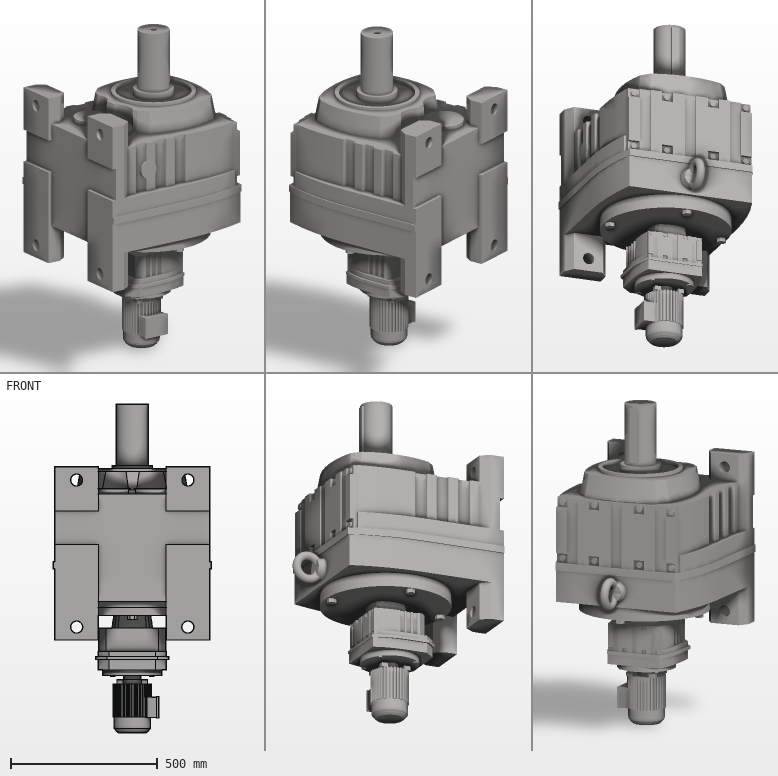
import cadquery as cq
import math


PRIMARY_Y = -35.0
MOTOR_Y = -50.0
TOP_Z = 1122.0
UNIT_JOINT_Z = 429.0
MOTOR_JOINT_Z = 209.0

LOWER_BOTTOM_Z = 449.0
RIM_BOTTOM_Z = 560.0
RIM_TOP_Z = 585.0
LEDGE_Z = 643.0
UPPER_TOP_Z = 815.0
HALF_WIDTH = 265.0
RIM_OVERHANG = 5.0
BACK_HALF_WIDTH = 224.0
BACK_Y = 204.0
FRONT_Y = -343.0
SIDE_TANGENT_Y = -52.0
UPPER_HALF_WIDTH = 242.0
UPPER_BACK_Y = 176.0

SIDE_GROOVE_FIRST_Y = -37.0
SIDE_GROOVE_PITCH = 81.0
SIDE_GROOVE_WIDTH = 42.0
SIDE_GROOVE_DEPTH = 11.0
SIDE_GROOVES = 3

PLUG_Y = -188.0
PLUG_RADIUS = 31.0
PLUG_Z = 718.0

COVER_DROP = 2.0
COVER_BACK_Y = 202.0
COVER_RELIEF = 6.0
COVER_RELIEF_WIDTH = 40.0
COVER_RELIEF_X = 165.0
COVER_POCKET_X = (84.0, 204.0)
COVER_POCKET_WIDTH = 40.0
COVER_POCKET_DEPTH = 12.0
COVER_POCKET_HEIGHT = 34.0
COVER_SCREW_RADIUS = 10.0
COVER_SCREW_HEIGHT = 7.0

FOOT_BASE_Y = -357.0
FOOT_TOP_Y = -276.0
FOOT_INNER_X = 116.0
FOOT_BOTTOM_Z = 316.0
FOOT_TOP_Z = 909.0
FOOT_CHAMFER_Y = 34.0
FOOT_CHAMFER_X = 22.0
FOOT_RELIEF_BOTTOM_Z = LEDGE_Z
FOOT_RELIEF_TOP_Z = 757.0
FOOT_HOLE_X = 190.0
FOOT_HOLE_DIAMETER = 40.0
FOOT_HOLE_TOP_Z = 863.0
FOOT_HOLE_BOTTOM_Z = 361.0

DOME_TOP_Z = 892.0
DOME_HALF_X = 192.0
DOME_BACK_Y = 188.0
DOME_FRONT_Y = -194.0
DOME_CORNER_X = 166.0
DOME_CORNER_Y = 134.0
DOME_CORNER_CUT = 33.0
DOME_TAPER = 10.5

CAP_TOP_Z = 835.0
CAP_CHAMFER = 2.0
LEFT_CAP = (-64.0, -219.0, 58.0)
RIGHT_CAP = (76.0, -224.0, 70.0)
CAP_WEB_WIDTH = 34.0
CAP_WEB_FRONT_Y = -247.0
CAP_WEB_HEIGHT = 13.0

SEAL_RING_RADIUS = 145.0
SEAL_RECESS_RADIUS = 130.0
SEAL_RING_TOP_Z = 902.0
SEAL_RECESS_Z = 888.0
COLLAR_RADIUS = 70.0
COLLAR_TOP_Z = 912.0
SHAFT_RADIUS = 55.0
KEY_WIDTH = 28.0
KEY_TOP_Y = 60.0
KEY_BOTTOM_Z = 925.0
KEY_TOP_Z = 1112.0
CENTRE_HOLE_RADIUS = 10.0
CENTRE_HOLE_MOUTH_RADIUS = 15.0
CENTRE_HOLE_DEPTH = 34.0

EYE_Z = 504.0
EYE_TUBE_RADIUS = 15.0
EYE_RING_RADIUS = 42.0
EYE_END_Y = 313.0
EYE_BOSS_BASE_RADIUS = 39.0
EYE_BOSS_TOP_RADIUS = 31.0
EYE_BOSS_HEIGHT = 27.0

FLANGE_RADIUS = 224.0
FLANGE_BOTTOM_Z = 400.0
FLANGE_BOLT_CIRCLE = 203.0
FLANGE_BOLT_ACROSS = 33.0
FLANGE_BOLT_HEIGHT = 13.0
PRIMARY_UPPER_TOP_Z = 358.0
PRIMARY_LEDGE_Z = 277.0
PRIMARY_RIM_TOP_Z = 260.0
PRIMARY_RIM_BOTTOM_Z = 250.0
PRIMARY_BOTTOM_Z = 215.0
PRIMARY_HALF_WIDTH = 117.0
PRIMARY_BACK_HALF_WIDTH = 98.0
PRIMARY_BACK_Y = 57.0
PRIMARY_FRONT_Y = -175.0
PRIMARY_TANGENT_Y = -56.0
PRIMARY_CHAMFER_X = 38.0
PRIMARY_CHAMFER_Y = 38.0
PRIMARY_RIM_OVERHANG = 8.0
PRIMARY_RIM_END_OVERHANG = 3.0
PRIMARY_UPPER_HALF_WIDTH = 108.0
PRIMARY_UPPER_BACK_Y = 42.0
PRIMARY_COVER_BACK_Y = 54.0
PRIMARY_UPPER_FRONT_Y = -140.0
PRIMARY_HEAD_HALF_WIDTH = 115.0
PRIMARY_HEAD_CHAMFER = 25.0
PRIMARY_HEAD_BACK_Y = PRIMARY_UPPER_FRONT_Y + PRIMARY_HEAD_CHAMFER
PRIMARY_GROOVE_FIRST_Y = -43.0
PRIMARY_GROOVE_PITCH = 24.0
PRIMARY_GROOVE_WIDTH = 15.0
PRIMARY_GROOVE_DEPTH = 6.0
PRIMARY_COVER_SCALE = 0.43
NECK_HALF = 70.0
NECK_CORNER = 60.0
NECK_CORNER_FLAT = 48.0
NECK_CORNER_CUT = NECK_CORNER - NECK_CORNER_FLAT
NECK_TAPER = 8.5

MOTOR_FLANGE_RADIUS = 101.0
MOTOR_FLANGE_BOTTOM_Z = 195.0
MOTOR_BOLT_OFFSET = 66.0
MOTOR_BOLT_ACROSS = 16.0
MOTOR_BOLT_HEIGHT = 3.0
MOTOR_NECK_RADIUS = 29.0
LUG_TOP_Z = 182.0
LUG_HUB_RADIUS = 31.0
LUG_OUTER = 53.0
LUG_SIZE = 21.0
FINS_TOP_Z = 167.0
FINS_BOTTOM_Z = 54.0
FIN_COUNT = 36
FIN_TIP_RADIUS = 66.0
FIN_ROOT_RADIUS = 58.0
FIN_THICKNESS = 6.0
COWL_RADIUS = 63.0
COWL_EDGE_RADIUS = 54.0
COWL_END_RADIUS = 47.0
COWL_BEND_RADIUS = 62.0
COWL_BEND_Z = 16.0
COWL_SHOULDER_Z = 22.0
COWL_EDGE_Z = 6.0
TERMINAL_BOX_WIDTH = 88.0
TERMINAL_BOX_BOTTOM_Z = 53.0
TERMINAL_BOX_TOP_Z = 122.0
TERMINAL_LID_INNER_X = 83.0
TERMINAL_LID_OUTER_X = 91.0
TERMINAL_LID_OVERHANG = 2.0


def box(x_range, y_range, z_range):
    """Box between two limits along each axis."""
    (x0, x1), (y0, y1), (z0, z1) = x_range, y_range, z_range
    return cq.Workplane("XY", origin=(x0, y0, z0)).box(x1 - x0, y1 - y0, z1 - z0, centered=False)


def disc(x, y, radius, bottom_z, top_z):
    """Vertical cylinder."""
    return cq.Workplane("XY", origin=(x, y, bottom_z)).circle(radius).extrude(top_z - bottom_z)


def hexagon_head(x, y, across_corners, bottom_z, top_z):
    """Vertical hexagonal bolt head."""
    return cq.Workplane("XY", origin=(x, y, bottom_z)).polygon(6, across_corners).extrude(top_z - bottom_z)


def shell_slab(half_width, tangent_y, back_half_width, back_y, front_y, z_range, chamfer=(0, 0)):
    """Slab with a flat front and sides that curve inwards towards the back.

    Each side arc is tangent to the straight side at tangent_y; chamfer cuts the front corners.
    """
    bottom_z, top_z = z_range
    chamfer_x, chamfer_y = chamfer
    narrowing = half_width - back_half_width
    length = back_y - tangent_y
    arc_radius = (narrowing**2 + length**2) / (2 * narrowing)
    middle_y = tangent_y + length / 2
    middle_x = half_width - arc_radius + math.sqrt(arc_radius**2 - (length / 2) ** 2)
    outline = cq.Workplane("XY", origin=(0, 0, bottom_z)).moveTo(half_width - chamfer_x, front_y)
    if chamfer_x:
        outline = outline.lineTo(half_width, front_y + chamfer_y)
    outline = (
        outline.lineTo(half_width, tangent_y)
        .threePointArc((middle_x, middle_y), (back_half_width, back_y))
        .lineTo(-back_half_width, back_y)
        .threePointArc((-middle_x, middle_y), (-half_width, tangent_y))
    )
    if chamfer_x:
        outline = outline.lineTo(-half_width, front_y + chamfer_y)
    return outline.lineTo(chamfer_x - half_width, front_y).close().extrude(top_z - bottom_z)


def cut_side_grooves(body, half_width, first_y, pitch, width, depth, z_range):
    """Cut vertical grooves into both sides of an upper housing.

    Each groove wall is an S of two quarter rounds, convex at the mouth and concave at the floor.
    """
    bottom_z, top_z = z_range
    round_radius = depth / 2
    bend = round_radius * math.sqrt(0.5)
    for index in range(SIDE_GROOVES):
        back_y = first_y - index * pitch
        front_y = back_y - width
        for side in (1, -1):
            mouth_x = side * half_width
            middle_x = side * (half_width - round_radius)
            floor_x = side * (half_width - depth)
            mouth_bend_x = middle_x + side * bend
            floor_bend_x = middle_x - side * bend
            convex_bend = round_radius - bend
            groove = (
                cq.Workplane("XY", origin=(0, 0, bottom_z))
                .moveTo(mouth_x, back_y + round_radius)
                .threePointArc((mouth_bend_x, back_y + convex_bend), (middle_x, back_y))
                .threePointArc((floor_bend_x, back_y - convex_bend), (floor_x, back_y - round_radius))
                .lineTo(floor_x, front_y + round_radius)
                .threePointArc((floor_bend_x, front_y + convex_bend), (middle_x, front_y))
                .threePointArc((mouth_bend_x, front_y - convex_bend), (mouth_x, front_y - round_radius))
                .close()
                .extrude(top_z - bottom_z)
            )
            body = body.cut(groove)
    return body


def rear_cover(half_width, inner_y, outer_y, z_range, scale):
    """Flat rear cover with upright reliefs and screw pockets at its top and bottom edges."""
    bottom_z, top_z = z_range
    cover = box((-half_width, half_width), (inner_y, outer_y), z_range)
    relief_half = scale * COVER_RELIEF_WIDTH / 2
    relief_y = (outer_y - scale * COVER_RELIEF, outer_y)
    for x in (-COVER_RELIEF_X, 0, COVER_RELIEF_X):
        x_range = (scale * x - relief_half, scale * x + relief_half)
        cover = cover.cut(box(x_range, relief_y, z_range))
    pocket_half = scale * COVER_POCKET_WIDTH / 2
    pocket_y = (outer_y - scale * COVER_POCKET_DEPTH, outer_y)
    pocket_height = scale * COVER_POCKET_HEIGHT
    for distance in COVER_POCKET_X:
        for x in (-scale * distance, scale * distance):
            x_range = (x - pocket_half, x + pocket_half)
            cover = cover.cut(box(x_range, pocket_y, (top_z - pocket_height, top_z)))
            cover = cover.cut(box(x_range, pocket_y, (bottom_z, bottom_z + pocket_height)))
            screws = (
                cq.Workplane("XZ", origin=(0, pocket_y[0], 0))
                .pushPoints([(x, bottom_z + pocket_height / 2), (x, top_z - pocket_height / 2)])
                .circle(scale * COVER_SCREW_RADIUS)
                .extrude(-scale * COVER_SCREW_HEIGHT)
            )
            cover = cover.union(screws)
    return cover


def domed_cover(centre_y, half_x, y_range, corner, corner_cut, z_range, taper):
    """Tapered cover whose four bulging sides meet at bevelled corners."""
    front_y, back_y = y_range
    corner_x, corner_y = corner
    bottom_z, top_z = z_range
    inner_x = corner_x - corner_cut
    outer_y = corner_y + corner_cut
    return (
        cq.Workplane("XY", origin=(0, centre_y, bottom_z))
        .moveTo(corner_x, -corner_y)
        .threePointArc((half_x, 0), (corner_x, corner_y))
        .lineTo(inner_x, outer_y)
        .threePointArc((0, back_y), (-inner_x, outer_y))
        .lineTo(-corner_x, corner_y)
        .threePointArc((-half_x, 0), (-corner_x, -corner_y))
        .lineTo(-inner_x, -outer_y)
        .threePointArc((0, front_y), (inner_x, -outer_y))
        .close()
        .extrude(top_z - bottom_z, taper=taper)
    )


def main_housing():
    """Lower housing, parting rim, grooved upper housing and rear cover."""
    housing = shell_slab(
        HALF_WIDTH, SIDE_TANGENT_Y, BACK_HALF_WIDTH, BACK_Y, FRONT_Y, (LOWER_BOTTOM_Z, RIM_TOP_Z)
    )
    ledge = shell_slab(
        HALF_WIDTH, SIDE_TANGENT_Y, BACK_HALF_WIDTH, BACK_Y, FRONT_Y, (RIM_TOP_Z, LEDGE_Z)
    ).intersect(box((-HALF_WIDTH, HALF_WIDTH), (FRONT_Y, UPPER_BACK_Y), (RIM_TOP_Z, LEDGE_Z)))
    rim = shell_slab(
        HALF_WIDTH + RIM_OVERHANG,
        SIDE_TANGENT_Y,
        BACK_HALF_WIDTH,
        BACK_Y + RIM_OVERHANG,
        FRONT_Y,
        (RIM_BOTTOM_Z, RIM_TOP_Z),
    )
    upper_z = (LEDGE_Z, UPPER_TOP_Z)
    upper = shell_slab(UPPER_HALF_WIDTH, 0, BACK_HALF_WIDTH, UPPER_BACK_Y, FRONT_Y, upper_z)
    upper = cut_side_grooves(
        upper, UPPER_HALF_WIDTH, SIDE_GROOVE_FIRST_Y, SIDE_GROOVE_PITCH, SIDE_GROOVE_WIDTH,
        SIDE_GROOVE_DEPTH, upper_z,
    )
    cover_z = (RIM_TOP_Z, UPPER_TOP_Z - COVER_DROP)
    cover = rear_cover(BACK_HALF_WIDTH, UPPER_BACK_Y, COVER_BACK_Y, cover_z, scale=1)
    spigot = disc(0, PRIMARY_Y, FLANGE_RADIUS, UNIT_JOINT_Z, LOWER_BOTTOM_Z)
    return housing.union(ledge).union(rim).union(upper).union(cover).union(spigot)


def oil_plug():
    """Round plug that fills part of the grooves on the +X side."""
    inner_x = UPPER_HALF_WIDTH - SIDE_GROOVE_DEPTH
    return (
        cq.Workplane("YZ", origin=(inner_x, PLUG_Y, PLUG_Z)).circle(PLUG_RADIUS).extrude(SIDE_GROOVE_DEPTH)
    )


def foot(side):
    """One mounting foot with bevelled top edges, a relief in its base and two bolt holes."""
    shoulder_y = FOOT_TOP_Y - FOOT_CHAMFER_Y
    profile = [
        (FOOT_INNER_X, FOOT_BASE_Y),
        (HALF_WIDTH, FOOT_BASE_Y),
        (HALF_WIDTH, shoulder_y),
        (HALF_WIDTH - FOOT_CHAMFER_X, FOOT_TOP_Y),
        (FOOT_INNER_X + FOOT_CHAMFER_X, FOOT_TOP_Y),
        (FOOT_INNER_X, shoulder_y),
    ]
    rail = (
        cq.Workplane("XY", origin=(0, 0, FOOT_BOTTOM_Z))
        .polyline([(side * x, y) for x, y in profile])
        .close()
        .extrude(FOOT_TOP_Z - FOOT_BOTTOM_Z)
    )
    rim_x = sorted((side * FOOT_INNER_X, side * (HALF_WIDTH + RIM_OVERHANG)))
    rail = rail.union(box(rim_x, (FOOT_BASE_Y, FRONT_Y), (RIM_BOTTOM_Z, RIM_TOP_Z)))
    relief_x = sorted((side * FOOT_INNER_X, side * HALF_WIDTH))
    rail = rail.cut(box(relief_x, (FOOT_BASE_Y, FRONT_Y), (FOOT_RELIEF_BOTTOM_Z, FOOT_RELIEF_TOP_Z)))
    holes = (
        cq.Workplane("XZ", origin=(0, FOOT_TOP_Y, 0))
        .pushPoints([(side * FOOT_HOLE_X, FOOT_HOLE_TOP_Z), (side * FOOT_HOLE_X, FOOT_HOLE_BOTTOM_Z)])
        .circle(FOOT_HOLE_DIAMETER / 2)
        .extrude(FOOT_TOP_Y - FOOT_BASE_Y)
    )
    return rail.cut(holes)


def shaft_end_cover():
    """Domed cover, scooped around the two bearing caps and carrying a recessed seal ring."""
    dome = domed_cover(
        0, DOME_HALF_X, (DOME_FRONT_Y, DOME_BACK_Y), (DOME_CORNER_X, DOME_CORNER_Y), DOME_CORNER_CUT,
        (UPPER_TOP_Z, DOME_TOP_Z), DOME_TAPER,
    )
    for x, y, radius in (LEFT_CAP, RIGHT_CAP):
        dome = dome.cut(disc(x, y, radius, UPPER_TOP_Z, DOME_TOP_Z))
    dome = dome.union(disc(0, 0, SEAL_RING_RADIUS, DOME_TOP_Z, SEAL_RING_TOP_Z))
    return dome.cut(disc(0, 0, SEAL_RECESS_RADIUS, SEAL_RECESS_Z, SEAL_RING_TOP_Z))


def bearing_caps():
    """Two round caps on the upper housing, joined by a low web."""
    web_middle_x = (LEFT_CAP[0] + LEFT_CAP[2] + RIGHT_CAP[0] - RIGHT_CAP[2]) / 2
    web_x = (web_middle_x - CAP_WEB_WIDTH / 2, web_middle_x + CAP_WEB_WIDTH / 2)
    web_z = (UPPER_TOP_Z, UPPER_TOP_Z + CAP_WEB_HEIGHT)
    caps = box(web_x, (CAP_WEB_FRONT_Y, LEFT_CAP[1] + LEFT_CAP[2]), web_z)
    for x, y, radius in (LEFT_CAP, RIGHT_CAP):
        caps = caps.union(disc(x, y, radius, UPPER_TOP_Z, CAP_TOP_Z).faces(">Z").chamfer(CAP_CHAMFER))
    return caps


def output_shaft():
    """Collar, keyed output shaft and its centre hole."""
    collar = disc(0, 0, COLLAR_RADIUS, SEAL_RECESS_Z, COLLAR_TOP_Z)
    shaft = disc(0, 0, SHAFT_RADIUS, COLLAR_TOP_Z, TOP_Z)
    key = box((-KEY_WIDTH / 2, KEY_WIDTH / 2), (0, KEY_TOP_Y), (KEY_BOTTOM_Z, KEY_TOP_Z))
    centre_hole = disc(0, 0, CENTRE_HOLE_RADIUS, TOP_Z - CENTRE_HOLE_DEPTH, TOP_Z)
    flare = CENTRE_HOLE_MOUTH_RADIUS - CENTRE_HOLE_RADIUS
    mouth = cq.Workplane("XY").add(
        cq.Solid.makeCone(
            CENTRE_HOLE_RADIUS, CENTRE_HOLE_MOUTH_RADIUS, flare, pnt=cq.Vector(0, 0, TOP_Z - flare)
        )
    )
    return collar.union(shaft).union(key).cut(centre_hole).cut(mouth)


def lifting_eye():
    """Conical boss and upright ring on the back of the lower housing."""
    ring_y = EYE_END_Y - EYE_RING_RADIUS - EYE_TUBE_RADIUS
    boss = cq.Workplane("XY").add(
        cq.Solid.makeCone(
            EYE_BOSS_BASE_RADIUS, EYE_BOSS_TOP_RADIUS, EYE_BOSS_HEIGHT,
            pnt=cq.Vector(0, BACK_Y, EYE_Z), dir=cq.Vector(0, 1, 0),
        )
    )
    opening_radius = EYE_RING_RADIUS - EYE_TUBE_RADIUS
    opening = (
        cq.Workplane("YZ", origin=(0, ring_y, EYE_Z))
        .circle(opening_radius)
        .extrude(EYE_BOSS_BASE_RADIUS, both=True)
    )
    ring = cq.Workplane("XY").add(
        cq.Solid.makeTorus(
            EYE_RING_RADIUS, EYE_TUBE_RADIUS, cq.Vector(0, ring_y, EYE_Z), cq.Vector(1, 0, 0)
        )
    )
    return boss.cut(opening).union(ring)


def make_main_unit():
    """Main gear unit as one solid."""
    unit = main_housing().union(oil_plug())
    for side in (-1, 1):
        unit = unit.union(foot(side))
    return unit.union(shaft_end_cover()).union(bearing_caps()).union(output_shaft()).union(lifting_eye())


def primary_flange():
    """Round flange with four bolt heads below it."""
    flange = disc(0, PRIMARY_Y, FLANGE_RADIUS, FLANGE_BOTTOM_Z, UNIT_JOINT_Z)
    for dx, dy in ((1, 0), (0, 1), (-1, 0), (0, -1)):
        head = hexagon_head(
            dx * FLANGE_BOLT_CIRCLE,
            PRIMARY_Y + dy * FLANGE_BOLT_CIRCLE,
            FLANGE_BOLT_ACROSS,
            FLANGE_BOTTOM_Z - FLANGE_BOLT_HEIGHT,
            FLANGE_BOTTOM_Z,
        )
        flange = flange.union(head)
    return flange


def primary_housing():
    """Bevelled lower housing with its rim and a grooved upper housing."""
    chamfer = (PRIMARY_CHAMFER_X, PRIMARY_CHAMFER_Y)
    housing = shell_slab(
        PRIMARY_HALF_WIDTH, PRIMARY_TANGENT_Y, PRIMARY_BACK_HALF_WIDTH, PRIMARY_BACK_Y,
        PRIMARY_FRONT_Y, (PRIMARY_BOTTOM_Z, PRIMARY_RIM_TOP_Z), chamfer,
    )
    ledge = shell_slab(
        PRIMARY_HALF_WIDTH, PRIMARY_TANGENT_Y, PRIMARY_BACK_HALF_WIDTH, PRIMARY_UPPER_BACK_Y,
        PRIMARY_FRONT_Y, (PRIMARY_RIM_TOP_Z, PRIMARY_LEDGE_Z), chamfer,
    )
    rim = shell_slab(
        PRIMARY_HALF_WIDTH + PRIMARY_RIM_OVERHANG,
        PRIMARY_TANGENT_Y,
        PRIMARY_BACK_HALF_WIDTH,
        PRIMARY_BACK_Y + PRIMARY_RIM_END_OVERHANG,
        PRIMARY_FRONT_Y - PRIMARY_RIM_END_OVERHANG,
        (PRIMARY_RIM_BOTTOM_Z, PRIMARY_RIM_TOP_Z),
        chamfer,
    )
    upper_z = (PRIMARY_LEDGE_Z, PRIMARY_UPPER_TOP_Z)
    upper = shell_slab(
        PRIMARY_UPPER_HALF_WIDTH, PRIMARY_Y, PRIMARY_BACK_HALF_WIDTH, PRIMARY_UPPER_BACK_Y,
        PRIMARY_HEAD_BACK_Y, upper_z,
    )
    upper = cut_side_grooves(
        upper, PRIMARY_UPPER_HALF_WIDTH, PRIMARY_GROOVE_FIRST_Y, PRIMARY_GROOVE_PITCH,
        PRIMARY_GROOVE_WIDTH, PRIMARY_GROOVE_DEPTH, upper_z,
    )
    cover = rear_cover(
        PRIMARY_BACK_HALF_WIDTH, PRIMARY_UPPER_BACK_Y, PRIMARY_COVER_BACK_Y,
        (PRIMARY_RIM_TOP_Z, PRIMARY_UPPER_TOP_Z), PRIMARY_COVER_SCALE,
    )
    spigot = disc(0, MOTOR_Y, MOTOR_FLANGE_RADIUS, MOTOR_JOINT_Z, PRIMARY_BOTTOM_Z)
    return housing.union(ledge).union(rim).union(upper).union(primary_head()).union(cover).union(spigot)


def primary_head():
    """Bevelled front block of the upper housing."""
    inner_x = PRIMARY_HEAD_HALF_WIDTH - PRIMARY_HEAD_CHAMFER
    return (
        cq.Workplane("XY", origin=(0, 0, PRIMARY_LEDGE_Z))
        .polyline([
            (PRIMARY_HEAD_HALF_WIDTH, PRIMARY_HEAD_BACK_Y),
            (inner_x, PRIMARY_UPPER_FRONT_Y),
            (-inner_x, PRIMARY_UPPER_FRONT_Y),
            (-PRIMARY_HEAD_HALF_WIDTH, PRIMARY_HEAD_BACK_Y),
        ])
        .close()
        .extrude(PRIMARY_UPPER_TOP_Z - PRIMARY_LEDGE_Z)
    )


def make_primary_unit():
    """Primary gear unit as one solid."""
    neck = domed_cover(
        PRIMARY_Y, NECK_HALF, (-NECK_HALF, NECK_HALF), (NECK_CORNER, NECK_CORNER_FLAT), NECK_CORNER_CUT,
        (PRIMARY_UPPER_TOP_Z, FLANGE_BOTTOM_Z), NECK_TAPER,
    )
    return primary_flange().union(neck).union(primary_housing())


def motor_mount():
    """Motor flange with bolt heads, neck and hub with four corner lugs."""
    mount = disc(0, MOTOR_Y, MOTOR_FLANGE_RADIUS, MOTOR_FLANGE_BOTTOM_Z, MOTOR_JOINT_Z)
    mount = mount.union(disc(0, MOTOR_Y, MOTOR_NECK_RADIUS, LUG_TOP_Z, MOTOR_FLANGE_BOTTOM_Z))
    mount = mount.union(disc(0, MOTOR_Y, LUG_HUB_RADIUS, FINS_TOP_Z, LUG_TOP_Z))
    lug_centre = LUG_OUTER - LUG_SIZE / 2
    for dx in (-1, 1):
        for dy in (-1, 1):
            head = hexagon_head(
                dx * MOTOR_BOLT_OFFSET,
                MOTOR_Y + dy * MOTOR_BOLT_OFFSET,
                MOTOR_BOLT_ACROSS,
                MOTOR_FLANGE_BOTTOM_Z - MOTOR_BOLT_HEIGHT,
                MOTOR_FLANGE_BOTTOM_Z,
            )
            lug = (
                cq.Workplane("XY", origin=(dx * lug_centre, MOTOR_Y + dy * lug_centre, FINS_TOP_Z))
                .rect(LUG_SIZE, LUG_SIZE)
                .extrude(LUG_TOP_Z - FINS_TOP_Z)
            )
            mount = mount.union(head).union(lug)
    return mount


def finned_frame():
    """Cylindrical frame with radial cooling fins."""
    height = FINS_TOP_Z - FINS_BOTTOM_Z
    fin_inner_radius = FIN_ROOT_RADIUS / 2
    fin_length = FIN_TIP_RADIUS - fin_inner_radius
    fins = (
        cq.Workplane("XY", origin=(0, MOTOR_Y, FINS_BOTTOM_Z))
        .polarArray((FIN_TIP_RADIUS + fin_inner_radius) / 2, 0, 360, FIN_COUNT)
        .rect(fin_length, FIN_THICKNESS)
        .extrude(height)
    )
    return disc(0, MOTOR_Y, FIN_ROOT_RADIUS, FINS_BOTTOM_Z, FINS_TOP_Z).union(fins)


def fan_cowl():
    """Round fan cowl with a rounded-off lower edge."""
    return (
        cq.Workplane("XZ", origin=(0, MOTOR_Y, 0))
        .polyline([
            (0, 0),
            (COWL_END_RADIUS, 0),
            (COWL_EDGE_RADIUS, COWL_EDGE_Z),
            (COWL_BEND_RADIUS, COWL_BEND_Z),
            (COWL_RADIUS, COWL_SHOULDER_Z),
            (COWL_RADIUS, FINS_BOTTOM_Z),
            (0, FINS_BOTTOM_Z),
        ])
        .close()
        .revolve(360, (0, 0, 0), (0, 1, 0))
    )


def terminal_box():
    """Terminal box and lid on the +X side of the frame."""
    half = TERMINAL_BOX_WIDTH / 2
    lip = TERMINAL_LID_OVERHANG
    case = box(
        (0, TERMINAL_LID_INNER_X),
        (MOTOR_Y - half, MOTOR_Y + half),
        (TERMINAL_BOX_BOTTOM_Z, TERMINAL_BOX_TOP_Z),
    )
    lid = box(
        (TERMINAL_LID_INNER_X, TERMINAL_LID_OUTER_X),
        (MOTOR_Y - half - lip, MOTOR_Y + half + lip),
        (TERMINAL_BOX_BOTTOM_Z - lip, TERMINAL_BOX_TOP_Z + lip),
    )
    return case.union(lid)


def make_motor():
    """Motor as one solid."""
    return motor_mount().union(finned_frame()).union(fan_cowl()).union(terminal_box())


main_unit = make_main_unit()
primary_unit = make_primary_unit()
motor = make_motor()

result = cq.Compound.makeCompound([main_unit.val(), primary_unit.val(), motor.val()])